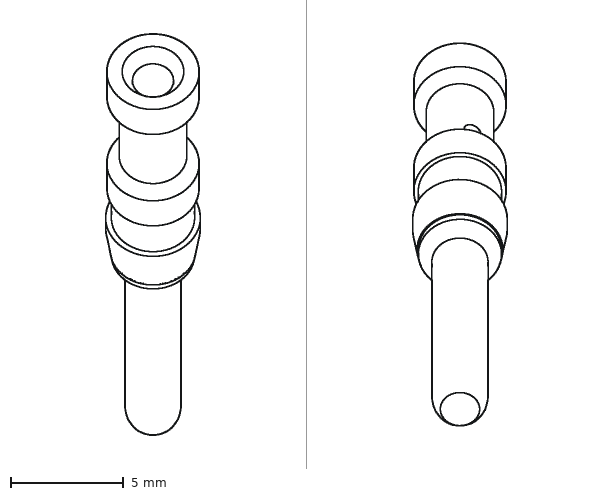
import cadquery as cq
import math

length = 26.75
collar_diameter = 4.1
neck_diameter = 3.0
body_diameter = 3.7
band_diameter = 4.2
taper_end_diameter = 3.8
stem_diameter = 2.5

collar_height = 1.93
neck_height = 4.0
body_height = 2.27
band_height = 0.83
taper_height = 1.65
lip_height = 0.37
tip_height = 1.0
tip_arc_radius = 1.5

bore_diameter = 1.82
bore_mouth_diameter = 2.73
bore_mouth_depth = 0.7
bore_depth = 6.42
drill_point_angle = 118.0
inspection_diameter = 0.8

collar_radius = collar_diameter / 2
neck_radius = neck_diameter / 2
body_radius = body_diameter / 2
band_radius = band_diameter / 2
stem_radius = stem_diameter / 2
bore_radius = bore_diameter / 2
mouth_radius = bore_mouth_diameter / 2

collar_shoulder = collar_radius - neck_radius
body_shoulder = body_radius - stem_radius

collar_bottom = length - collar_height
neck_top = collar_bottom - collar_shoulder
neck_bottom = neck_top - neck_height
lower_collar_top = neck_bottom - collar_shoulder
lower_collar_bottom = lower_collar_top - collar_height
band_top = lower_collar_bottom - body_height
band_bottom = band_top - band_height
taper_bottom = band_bottom - taper_height
lip_bottom = taper_bottom - lip_height
stem_top = lip_bottom - body_shoulder


def make_pin():
    """Revolve the solid outer outline about Z."""
    tip_angle = math.asin(tip_height / tip_arc_radius)
    tip_flat_radius = stem_radius - tip_arc_radius * (1 - math.cos(tip_angle))
    tip_middle_radius = stem_radius - tip_arc_radius * (1 - math.cos(tip_angle / 2))
    tip_middle_z = tip_height - tip_arc_radius * math.sin(tip_angle / 2)
    outline = (
        cq.Workplane("XZ")
        .lineTo(tip_flat_radius, 0)
        .threePointArc((tip_middle_radius, tip_middle_z), (stem_radius, tip_height))
        .lineTo(stem_radius, stem_top)
        .lineTo(body_radius, lip_bottom)
        .lineTo(body_radius, taper_bottom)
        .lineTo(taper_end_diameter / 2, taper_bottom)
        .lineTo(band_radius, band_bottom)
        .lineTo(band_radius, band_top)
        .lineTo(body_radius, band_top)
        .lineTo(body_radius, lower_collar_bottom)
        .lineTo(collar_radius, lower_collar_bottom)
        .lineTo(collar_radius, lower_collar_top)
        .lineTo(neck_radius, neck_bottom)
        .lineTo(neck_radius, neck_top)
        .lineTo(collar_radius, collar_bottom)
        .lineTo(collar_radius, length)
        .lineTo(0, length)
        .close()
    )
    return outline.revolve(360, (0, 0, 0), (0, 1, 0))


def make_bore():
    """Blind drilled bore with a flared conical mouth and a conical end."""
    bore_bottom = length - bore_depth
    point_depth = bore_radius / math.tan(math.radians(drill_point_angle / 2))
    outline = (
        cq.Workplane("XZ")
        .moveTo(0, bore_bottom - point_depth)
        .lineTo(bore_radius, bore_bottom)
        .lineTo(bore_radius, length - bore_mouth_depth)
        .lineTo(mouth_radius, length)
        .lineTo(0, length)
        .close()
    )
    return outline.revolve(360, (0, 0, 0), (0, 1, 0))


def make_inspection_hole():
    """Radial hole from the -X side into the bore, resting on the neck's lower end."""
    hole_z = neck_bottom + inspection_diameter / 2
    return (
        cq.Workplane("YZ")
        .center(0, hole_z)
        .circle(inspection_diameter / 2)
        .extrude(-collar_radius)
    )


result = make_pin().cut(make_bore()).cut(make_inspection_hole())